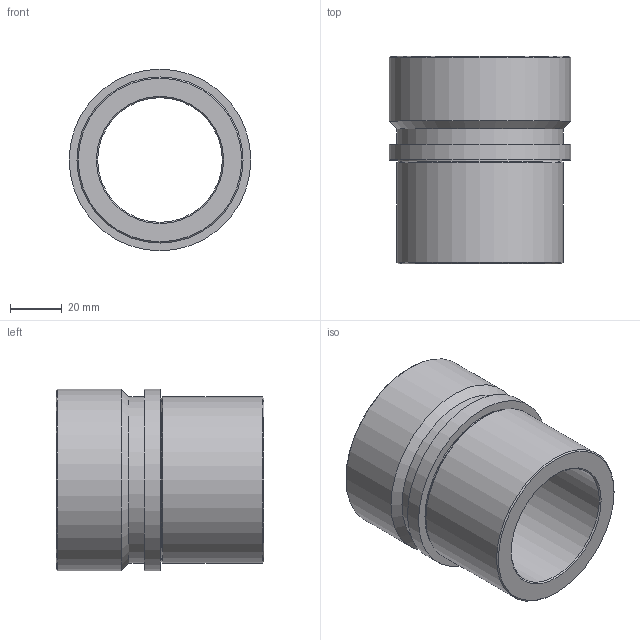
import cadquery as cq


back_y = 40.0
front_y = -40.0
head_length = 25.0
collar_width = 6.0
collar_front_y = 0.0
relief_width = 1.0

head_radius = 35.0
body_radius = 32.0
bore_radius = 24.0

outer_chamfer = 0.5
bore_chamfer = 0.5
relief_depth = 0.5

head_front_y = back_y - head_length
taper_end_y = head_front_y - (head_radius - body_radius)
collar_back_y = collar_front_y + collar_width
relief_front_y = collar_front_y - relief_width
relief_ramp_y = relief_front_y + relief_depth
relief_radius = body_radius - relief_depth


def half_section():
    """Closed half section of the sleeve in the YZ plane, as (Y, radius) points."""
    points = [
        (back_y, head_radius - outer_chamfer),
        (back_y - outer_chamfer, head_radius),
        (head_front_y, head_radius),
        (taper_end_y, body_radius),
        (collar_back_y, body_radius),
        (collar_back_y, head_radius),
        (collar_front_y, head_radius),
        (collar_front_y, relief_radius),
        (relief_ramp_y, relief_radius),
        (relief_front_y, body_radius),
        (front_y + outer_chamfer, body_radius),
        (front_y, body_radius - outer_chamfer),
        (front_y, bore_radius + bore_chamfer),
        (front_y + bore_chamfer, bore_radius),
        (back_y - bore_chamfer, bore_radius),
        (back_y, bore_radius + bore_chamfer),
    ]
    return cq.Workplane("YZ").polyline(points).close()


result = half_section().revolve(360, (0, 0, 0), (1, 0, 0))